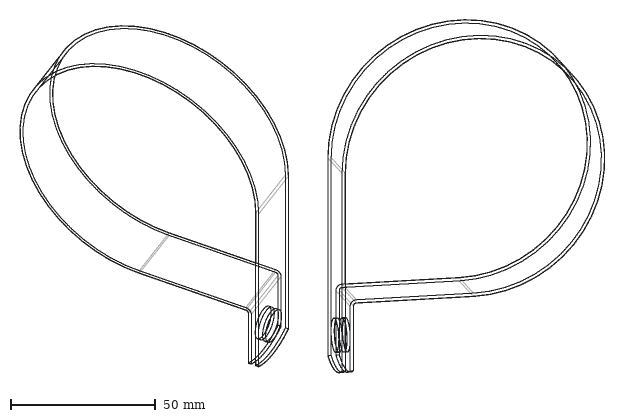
import cadquery as cq
import math

total_height = 119.5
outer_diameter = 93.0
strip_width = 22.2
thickness = 1.2
tab_gap = 1.7
inner_bend_radius = 1.0
hole_diameter = 12.0
hole_height = 12.5
tab_end_drop = 2.5

outer_radius = outer_diameter / 2
inner_radius = outer_radius - thickness
center_z = total_height - outer_radius
strip_bottom = center_z - outer_radius
strip_top = center_z - inner_radius
short_tab_right = inner_radius - tab_gap
short_tab_left = short_tab_right - thickness
half_width = strip_width / 2
outer_bend_radius = inner_bend_radius + thickness


def arc_point(radius, degrees):
    """Point on a circle about the loop axis, in the XZ plane."""
    angle = math.radians(degrees)
    return (radius * math.cos(angle), center_z + radius * math.sin(angle))


def bent_strip():
    """Three-quarter loop with two straight, nearly touching tabs."""
    bend_x = short_tab_left - inner_bend_radius
    bend_z = strip_bottom - inner_bend_radius
    inner_bend_offset = inner_bend_radius * math.sqrt(0.5)
    outer_bend_offset = outer_bend_radius * math.sqrt(0.5)
    return (
        cq.Workplane("XZ")
        .moveTo(outer_radius, 0)
        .lineTo(outer_radius, center_z)
        .threePointArc(arc_point(outer_radius, 135), (0, strip_bottom))
        .lineTo(bend_x, strip_bottom)
        .threePointArc(
            (bend_x + inner_bend_offset, bend_z + inner_bend_offset),
            (short_tab_left, bend_z),
        )
        .lineTo(short_tab_left, 0)
        .lineTo(short_tab_right, 0)
        .lineTo(short_tab_right, bend_z)
        .threePointArc(
            (bend_x + outer_bend_offset, bend_z + outer_bend_offset),
            (bend_x, strip_top),
        )
        .lineTo(0, strip_top)
        .threePointArc(arc_point(inner_radius, 135), (inner_radius, center_z))
        .lineTo(inner_radius, 0)
        .close()
        .extrude(half_width, both=True)
    )


def side_envelope():
    """Block with a curved lower edge that rounds both tab ends."""
    return (
        cq.Workplane("YZ")
        .moveTo(-half_width, tab_end_drop)
        .threePointArc((0, 0), (half_width, tab_end_drop))
        .lineTo(half_width, total_height)
        .lineTo(-half_width, total_height)
        .close()
        .extrude(outer_radius, both=True)
    )


def bolt_hole():
    """Cutter passing through both tabs."""
    return (
        cq.Workplane("YZ")
        .center(0, hole_height)
        .circle(hole_diameter / 2)
        .extrude(outer_radius)
    )


result = bent_strip().intersect(side_envelope()).cut(bolt_hole())